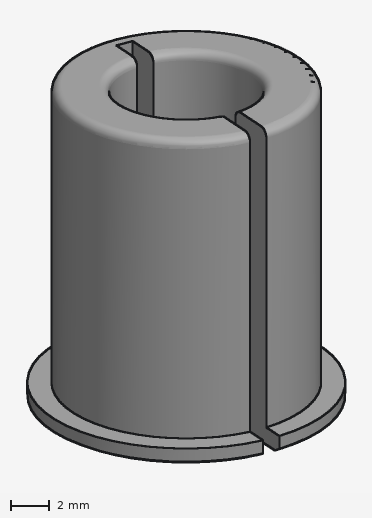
import cadquery as cq

total_height = 18.0
flange_diameter = 16.5
flange_thickness = 1.0
body_diameter = 14.0
bore_diameter = 8.0
edge_radius = 0.5
chamfer_height = 0.25
chamfer_width = 0.43
slot_width = 1.0
blind_slot_reach = 6.0

flange_radius = flange_diameter / 2
body_radius = body_diameter / 2
bore_radius = bore_diameter / 2


def make_sleeve():
    """Flanged sleeve with a through bore, revolved about Z."""
    arc_offset = edge_radius * (1 - 0.5**0.5)
    round_start = total_height - edge_radius
    arc_mid_height = total_height - arc_offset
    profile = (
        cq.Workplane("XZ")
        .moveTo(bore_radius, 0)
        .lineTo(flange_radius - chamfer_width, 0)
        .lineTo(flange_radius, chamfer_height)
        .lineTo(flange_radius, flange_thickness)
        .lineTo(body_radius, flange_thickness)
        .lineTo(body_radius, round_start)
        .threePointArc(
            (body_radius - arc_offset, arc_mid_height),
            (body_radius - edge_radius, total_height),
        )
        .lineTo(bore_radius + edge_radius, total_height)
        .threePointArc(
            (bore_radius + arc_offset, arc_mid_height),
            (bore_radius, round_start),
        )
        .close()
    )
    return profile.revolve(360, (0, 0, 0), (0, 1, 0))


def make_slot():
    """Full-height slot: splits the +X wall and stops inside the -X wall."""
    length = blind_slot_reach + flange_radius
    return (
        cq.Workplane("XY")
        .box(length, slot_width, total_height, centered=(False, True, False))
        .translate((-blind_slot_reach, 0, 0))
    )


result = make_sleeve().cut(make_slot())